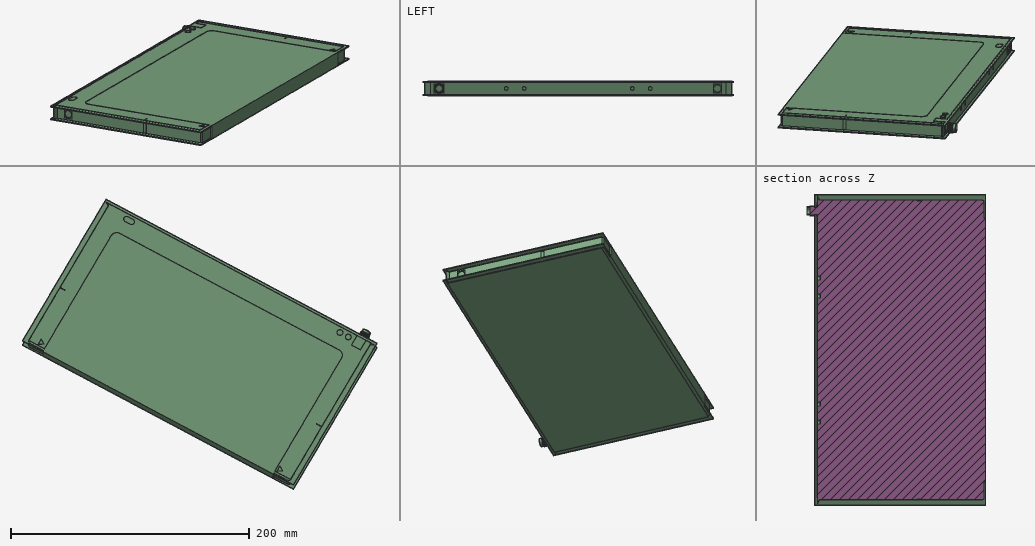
import cadquery as cq

length = 260.5
height = 12.5
x_max = 75.0
x_min = -x_max

flange_x_min = -68.5
flange_thickness = 0.8
relief = 0.3
lid_top = height / 2
flange_top = lid_top - relief
flange_bottom = flange_top - flange_thickness
lid_x_min = -66.2
lid_x_max = 72.2
lid_half_length = 125.8
core_x_max = 73.7
core_corner_chamfer = 1.3

side_plate_thickness = 1.8
side_plate_half_length = 129.0
side_face_half_length = 123.7
side_face_x = lid_x_min - relief
lid_rib_width = 0.3

panel_x_min = -47.7
panel_half_length = 110.7
panel_corner_radius = 5.2

seam_x = 17.7
seam_width = 2.5
seam_depth = 0.8
lid_slit_width = 0.3
lid_slit_length = 5.0
lid_slit_x = 18.5

control_x = -61.5
control_radius = 2.47
light_ys = (106.5, 98.5)
button_y = -104.2
button_length = 9.6

mark_width = 5.2
mark_height = 4.2
mark_x = 68.8
mark_base_ys = (112.3, -117.2)

port_height = 7.8
port_width = 6.8
port_radius = 3.0
side_port_y = -116.7
end_port_x = -54.0

connector_y = 116.7
connector_base_width = 8.5
label_x_max = -56.5
neck_radius = 3.6
neck_end_x = -72.5
nut_radius = 4.2
nut_end_x = -68.3
nut_groove_count = 3
nut_groove_width = 0.5
collar_radius = 3.0
bore_radius = 2.9

side_hole_radius = 1.5
side_hole_depth = 2.5
side_hole_ys = (60.5, 45.3, -45.3, -60.5)


def block(x0, x1, y0, y1, z0, z1):
    """Box between two opposite corners."""
    return cq.Workplane("XY").box(x1 - x0, y1 - y0, z1 - z0, centered=False).translate((x0, y0, z0))


def rod(radius, x0, x1, y):
    """Cylinder along X at mid height."""
    return cq.Workplane("YZ", origin=(x0, y, 0)).circle(radius).extrude(x1 - x0)


def lid_sketch():
    """Workplane on the floor of the shallow lid details."""
    return cq.Workplane("XY").workplane(offset=flange_top)


def make_side_plate():
    """Upright plate whose ends are bevelled back to the end walls."""
    inner_x = lid_x_min + side_plate_thickness
    points = [
        (lid_x_min, -side_plate_half_length),
        (inner_x, -lid_half_length),
        (inner_x, lid_half_length),
        (lid_x_min, side_plate_half_length),
    ]
    plate = cq.Workplane("XY").workplane(offset=-flange_top).polyline(points).close()
    return plate.extrude(2 * flange_top)


def make_body():
    core = block(lid_x_min, core_x_max, -lid_half_length, lid_half_length, -flange_top, flange_top)
    core = core.edges("|Z and >X").chamfer(core_corner_chamfer)
    panel_edge = block(0, x_max, -panel_half_length, panel_half_length, -flange_top, flange_top)
    side_face = block(
        side_face_x, lid_x_min, -side_face_half_length, side_face_half_length, -flange_top, flange_top
    )
    body = core.union(panel_edge).union(make_side_plate()).union(side_face)
    for z in (flange_bottom, -flange_top):
        flange = block(flange_x_min, x_max, -length / 2, length / 2, z, z + flange_thickness)
        body = body.union(flange)
    for z in (flange_top, -lid_top):
        lid = block(lid_x_min, lid_x_max, -lid_half_length, lid_half_length, z, z + relief)
        rib = block(
            lid_x_min, lid_x_min + lid_rib_width, -side_plate_half_length, -lid_half_length, z, z + relief
        )
        body = body.union(lid).union(rib)
    return body


def panel_recess():
    recess = block(panel_x_min, x_max, -panel_half_length, panel_half_length, flange_top, lid_top)
    return recess.edges("|Z and <X").fillet(panel_corner_radius)


def label_recess():
    half = connector_base_width / 2
    return block(side_face_x, label_x_max, connector_y - half, connector_y + half, flange_top, lid_top)


def light_recesses():
    centers = [(control_x, y) for y in light_ys]
    return lid_sketch().pushPoints(centers).circle(control_radius).extrude(relief)


def button_recess():
    button = lid_sketch().center(control_x, button_y).slot2D(button_length, 2 * control_radius, 90)
    return button.extrude(relief)


def mark_recess(base_y):
    points = [
        (mark_x + mark_width / 2, base_y),
        (mark_x, base_y + mark_height),
        (mark_x - mark_width / 2, base_y),
    ]
    return lid_sketch().polyline(points).close().extrude(relief)


def seam_cuts():
    """Vertical groove in each end wall and the slit that continues it on the top lid."""
    wall_groove = block(
        seam_x, seam_x + seam_width,
        -lid_half_length, -lid_half_length + seam_depth, -flange_bottom, flange_bottom,
    )
    lid_slit = block(
        lid_slit_x, lid_slit_x + lid_slit_width,
        -lid_half_length, -lid_half_length + lid_slit_length, flange_top, lid_top,
    )
    cuts = wall_groove.union(lid_slit)
    return cuts.union(cuts.mirror("XZ"))


def port_recess():
    """Shallow square recess around a round island, in a wall at the origin that faces -Y."""
    wall = cq.Workplane("XZ")
    square = wall.rect(port_width, port_height).extrude(-relief)
    return square.cut(wall.circle(port_radius).extrude(-relief))


def end_port():
    return port_recess().translate((end_port_x, -lid_half_length, 0))


def side_port():
    facing_side = port_recess().rotate((0, 0, 0), (0, 0, 1), -90)
    return facing_side.translate((side_face_x, side_port_y, 0))


def side_holes():
    wall = cq.Workplane("YZ", origin=(side_face_x, 0, 0))
    return wall.pushPoints([(y, 0) for y in side_hole_ys]).circle(side_hole_radius).extrude(side_hole_depth)


def make_connector():
    half = connector_base_width / 2
    base = block(
        side_face_x - relief, lid_x_min, connector_y - half, connector_y + half,
        -port_height / 2, port_height / 2,
    )
    neck = rod(neck_radius, x_min, neck_end_x, connector_y)
    nut = rod(nut_radius, neck_end_x, nut_end_x, connector_y)
    nut_pitch = (nut_end_x - neck_end_x) / (nut_groove_count + 1)
    for i in range(1, nut_groove_count + 1):
        x = neck_end_x + i * nut_pitch - nut_groove_width / 2
        groove = rod(nut_radius, x, x + nut_groove_width, connector_y)
        groove_floor = rod(nut_radius - relief, x, x + nut_groove_width, connector_y)
        nut = nut.cut(groove.cut(groove_floor))
    collar = rod(collar_radius, nut_end_x, lid_x_min, connector_y)
    connector = base.union(neck).union(nut).union(collar)
    return connector.cut(rod(bore_radius, x_min, neck_end_x, connector_y))


result = make_body().cut(panel_recess()).cut(label_recess())
result = result.cut(light_recesses()).cut(button_recess())
for mark_base_y in mark_base_ys:
    result = result.cut(mark_recess(mark_base_y))
result = result.cut(seam_cuts()).cut(side_holes())
result = result.cut(end_port()).cut(side_port())
result = result.union(make_connector())